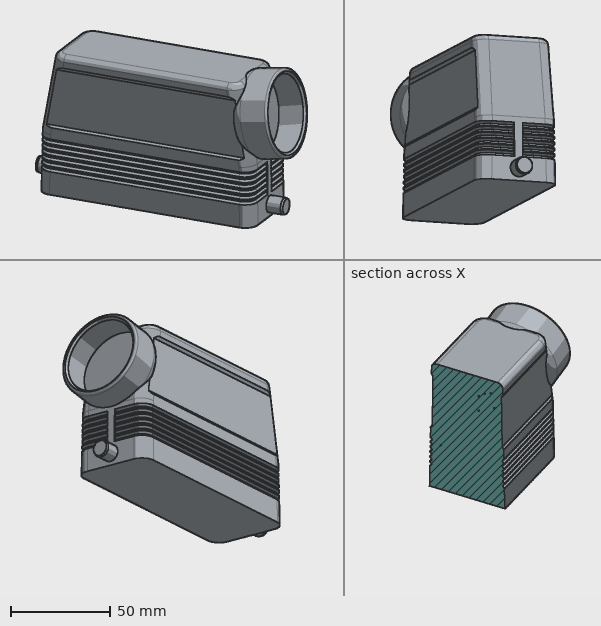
import cadquery as cq
import math

base_length = 120.0
base_width = 43.2
body_height = 75.8
draft_angle = 0.85
end_tilt = 10.0
kink_height = 33.0
corner_radius = 7.0
top_radius = 3.3

panel_depth = 0.9
panel_bottom = 37.4
panel_top = 67.4
panel_bottom_slope = 1.3
panel_top_slope = 1.8

groove_count = 6
groove_pitch = 3.0
groove_width = 2.5
groove_depth = 1.1
groove_top = 29.9
rib_outer_width = 4.2
rib_root_width = 5.2

pin_diameter = 8.9
pin_height = 6.5
pin_span = 138.0
pin_chamfer_length = 1.2
pin_chamfer_depth = 0.4

collar_diameter = 46.0
collar_length = 15.0
collar_back_radius = 6.0
collar_bore_diameter = 40.0
collar_rim_radius = 1.1
collar_bore_chamfer = 1.2
collar_max_x = 73.34
collar_max_z = 79.49

clearance = 10.0

draft_slope = math.tan(math.radians(draft_angle))
tilt_slope = math.tan(math.radians(end_tilt))
tilt_sin = math.sin(math.radians(end_tilt))
tilt_cos = math.cos(math.radians(end_tilt))


def half_length(z):
    """Half length of the body at height z."""
    lower = min(z, kink_height)
    upper = max(z - kink_height, 0.0)
    return base_length / 2 - lower * draft_slope - upper * tilt_slope


def half_width(z):
    """Half width of the body at height z."""
    return base_width / 2 - z * draft_slope


def make_body():
    side_outline = [
        (-half_length(0), 0),
        (half_length(0), 0),
        (half_length(kink_height), kink_height),
        (half_length(body_height), body_height),
        (-half_length(body_height), body_height),
        (-half_length(kink_height), kink_height),
    ]
    end_outline = [
        (-half_width(0), 0),
        (half_width(0), 0),
        (half_width(body_height), body_height),
        (-half_width(body_height), body_height),
    ]
    side = cq.Workplane("XZ").polyline(side_outline).close().extrude(base_width / 2, both=True)
    end = cq.Workplane("YZ").polyline(end_outline).close().extrude(base_length / 2, both=True)
    body = side.intersect(end)
    body = body.edges("not(#Z or |X or |Y)").fillet(corner_radius)
    return body.faces(">Z").edges().fillet(top_radius)


def make_panel_cut():
    """Tool for the recess on the +Y side, running past both ends of the body."""
    outside = base_width / 2 + clearance
    outline = [
        (outside, panel_bottom - panel_bottom_slope),
        (half_width(panel_bottom - panel_bottom_slope), panel_bottom - panel_bottom_slope),
        (half_width(panel_bottom) - panel_depth, panel_bottom),
        (half_width(panel_top) - panel_depth, panel_top),
        (half_width(panel_top + panel_top_slope), panel_top + panel_top_slope),
        (outside, panel_top + panel_top_slope),
    ]
    return cq.Workplane("YZ").polyline(outline).close().extrude(base_length / 2, both=True)


def rounded_section(z, inset):
    """Body cross-section at height z, moved inward by inset."""
    sketch = cq.Sketch().rect(2 * (half_length(z) - inset), 2 * (half_width(z) - inset))
    return sketch.vertices().fillet(corner_radius - inset).moved(cq.Location(cq.Vector(0, 0, z)))


def make_groove(top):
    """V-shaped ring tool whose upper edge lies at height top."""
    middle = top - groove_width / 2
    bottom = top - groove_width
    ring = cq.Workplane("XY").workplane(offset=bottom).rect(
        base_length + clearance, base_width + clearance).extrude(groove_width)
    for edge in (top, bottom):
        sections = (rounded_section(edge, 0), rounded_section(middle, groove_depth))
        core = cq.Workplane("XY").placeSketch(*sections).loft(ruled=True)
        ring = ring.cut(core)
    return ring


def make_rib_keepout():
    """Bar along X that shields the end ribs from the groove tools."""
    root = half_length(groove_top) - groove_depth
    outer = base_length / 2
    length = outer + clearance
    half_bar = [
        (0, -rib_root_width / 2),
        (root, -rib_root_width / 2),
        (outer, -rib_outer_width / 2),
        (length, -rib_outer_width / 2),
        (length, rib_outer_width / 2),
        (outer, rib_outer_width / 2),
        (root, rib_root_width / 2),
        (0, rib_root_width / 2),
    ]
    bar = cq.Workplane("XY").polyline(half_bar).close().extrude(groove_top + clearance)
    return bar.union(bar.mirror("YZ"))


def make_pins():
    radius = pin_diameter / 2
    tip = pin_span / 2
    outline = [
        (0, 0),
        (tip, 0),
        (tip, radius - pin_chamfer_depth),
        (tip - pin_chamfer_length, radius),
        (0, radius),
    ]
    pin = cq.Workplane("XY").polyline(outline).close().revolve(360, (0, 0, 0), (1, 0, 0))
    pin = pin.translate((0, 0, pin_height))
    return pin.union(pin.mirror("YZ"))


def collar_plane():
    """Plane on the collar's open face, with its normal pointing out of the part."""
    rim_offset = collar_diameter / 2 - collar_rim_radius
    rim_x = collar_max_x - collar_rim_radius
    rim_z = collar_max_z - collar_rim_radius
    centre_x = rim_x - rim_offset * tilt_sin + collar_rim_radius * tilt_cos
    centre_z = rim_z - rim_offset * tilt_cos + collar_rim_radius * tilt_sin
    centre = (centre_x, 0, centre_z)
    return cq.Plane(origin=centre, xDir=(0, 1, 0), normal=(tilt_cos, 0, tilt_sin))


def make_collar():
    depth = collar_length + collar_back_radius
    collar = cq.Workplane(collar_plane()).circle(collar_diameter / 2).extrude(-depth)
    back_edge = cq.selectors.DirectionMinMaxSelector(collar_plane().zDir, False)
    rim_edge = cq.selectors.DirectionMinMaxSelector(collar_plane().zDir, True)
    collar = collar.edges(back_edge).fillet(collar_back_radius)
    return collar.edges(rim_edge).fillet(collar_rim_radius)


def make_bore():
    radius = collar_bore_diameter / 2
    bore = cq.Workplane(collar_plane()).circle(radius).extrude(-collar_length)
    mouth = cq.Workplane(collar_plane()).circle(radius + collar_bore_chamfer)
    mouth = mouth.workplane(offset=-collar_bore_chamfer).circle(radius).loft()
    return bore.union(mouth)


body = make_body()

panel_cut = make_panel_cut()
body = body.cut(panel_cut).cut(panel_cut.mirror("XZ"))

rib_keepout = make_rib_keepout()
for index in range(groove_count):
    groove = make_groove(groove_top - index * groove_pitch)
    body = body.cut(groove.cut(rib_keepout))

result = body.union(make_pins()).union(make_collar()).cut(make_bore())